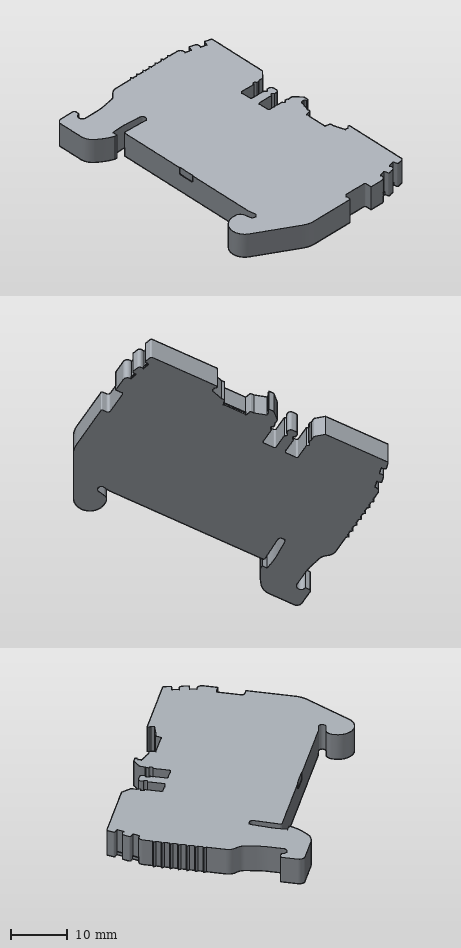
import cadquery as cq
import math

LENGTH = 52.2
HEIGHT = 36.05
THICKNESS = 5.15

LEFT_WALL_X = 0.5
FLOOR_Y = 6.2
MID_X = (LEFT_WALL_X + LENGTH) / 2
LEDGE_DEPTH = 0.15
LEDGE_HEIGHT = 0.65

FLANK_ANGLE = math.radians(15)
FLANK_TOP_X = 2.3
NOTCH_START = 1.55
NOTCH_PITCH = 3.15
NOTCH_WIDTH = 1.3
NOTCH_DEPTH = 1.05
NOTCH_STARTS = [NOTCH_START, NOTCH_START + NOTCH_PITCH]
TOP_CORNER_RADIUS = 0.3
NOTCH_UPPER_RADIUS = 0.2
NOTCH_LOWER_RADIUS = 0.65
SHOULDER_RADIUS = 0.9

TOOTH_COUNT = 7
TOOTH_PITCH = 1.5
TOOTH_FIRST_Y = 27.15
TOOTH_HEIGHT = 0.35
TOOTH_UPPER = 0.25
TOOTH_LOWER = 0.35

SLOT_CENTER_X = 20.3
SLOT_OUTER = 3.55
SLOT_FLOOR_Y = 29.0
SLOT_FLOOR_RADIUS = 0.3
POST_HALF_WIDTH = 0.95
POST_TOP_Y = 34.0
POST_RADIUS = 0.65
SLOT_MOUTH = 5.2
SLOT_NECK = 3.7
SLOT_NECK_TOP_Y = 34.65
SLOT_NECK_BOTTOM_Y = 33.7
SLOT_WALL_TOP_Y = 33.45
SLOT_NECK_RADIUS = 0.4
DETENT_Y = 32.6
DETENT_RADIUS = 0.35

RECESS_CENTER_X = 31.7
RECESS_LIP = 5.2
RECESS_UNDERCUT = 5.55
RECESS_STEP = 2.6
RECESS_FLOOR = 2.3
LIP_BOTTOM_Y = 35.7
UNDERCUT_Y = 35.4
SLOPE_OUTER_Y = 34.75
RECESS_SLOPE_INNER = 3.3
STEP_Y = 34.0
STEP_RADIUS = 0.15
RECESS_FLOOR_Y = 32.85

POCKET_X = 50.65
POCKET_TOP_Y = 26.5
POCKET_BOTTOM_Y = 21.45
POCKET_MOUTH_RADIUS = 0.2
POCKET_BOTTOM_RADIUS = 0.5
POCKET_TOP_RADIUS = 0.3

HOOK_BOTTOM_Y = 0.2
HOOK_LEFT_X = 41.3
HOOK_RADIUS = 2.9
HOOK_TIP_RADIUS = 1.3
HOOK_SLOPE_ANGLE = math.radians(60.5)
HOOK_SLOPE_RADIUS = 4.7
HOOK_TIP_Y = 4.7
GROOVE_START_X = 42.0
GROOVE_END_X = 44.05
GROOVE_TOP_Y = 6.65
GROOVE_BOTTOM_Y = 5.25
GROOVE_RADIUS = 0.65

SHELF_Y = 4.35
LEG_X = 2.85
LEG_BEND_Y = 8.1
LEG_BEND_RADIUS = 10.45
HIP_UPPER_Y = 13.2
HIP_UPPER_RADIUS = 2.05
HIP_LOWER = (2.15, 11.85)
HIP_LOWER_RADIUS = 2.0
SHELF_CORNER_RADIUS = 0.4
FOOT_CORNER_RADIUS = 1.05
SHELF_POCKET_RADIUS = 0.85
TOE_X = 10.25
TOE_TOP_Y = 4.85
TOE_BOTTOM_X = 7.45
TOE_BOTTOM_RADIUS = 2.9
TOE_FRONT = (9.55, 2.55)
TOE_FRONT_RADIUS = 11.2
LEG_SLOT_TOP_Y = 11.95
LEG_SLOT_TOP_LEFT_X = 9.45
LEG_SLOT_TOP_RIGHT_X = 10.8
LEG_SLOT_END_RADIUS = 0.65
LEG_SLOT_BOTTOM_LEFT_X = 9.25
LEG_SLOT_BOTTOM_RIGHT_X = 10.6
LEG_SLOT_BEND = (9.05, 7.05)
LEG_SLOT_BEND_RADIUS = 13.05
FLOOR_CORNER_RADIUS = 0.3

LABEL_START_X = 24.65
LABEL_WIDTH = 3.3
LABEL_HEIGHT = 1.45
LABEL_DEPTH = 0.1
LABEL_RADIUS = 0.3

TOUCHING = 0.0005


def rounded_profile(corners):
    """Closed wire through (x, y, radius) corners, each rounded by a tangent arc."""
    path = []
    count = len(corners)
    for i, (x, y, radius) in enumerate(corners):
        if radius == 0:
            path.append([(x, y)])
            continue
        corner = cq.Vector(x, y)
        before = (cq.Vector(*corners[i - 1][:2]) - corner).normalized()
        after = (cq.Vector(*corners[(i + 1) % count][:2]) - corner).normalized()
        half_angle = before.getAngle(after) / 2
        setback = radius / math.tan(half_angle)
        arc_gap = radius / math.sin(half_angle) - radius
        points = [
            corner + before * setback,
            corner + (before + after).normalized() * arc_gap,
            corner + after * setback,
        ]
        path.append([(p.x, p.y) for p in points])

    position = path[0][-1]
    profile = cq.Workplane("XY").moveTo(*position)
    for stretch in path[1:] + path[:1]:
        if math.dist(position, stretch[0]) > TOUCHING:
            profile = profile.lineTo(*stretch[0])
        if len(stretch) > 1:
            profile = profile.threePointArc(stretch[1], stretch[2])
        position = stretch[-1]
    return profile.close()


def mirrored(corners, center_x):
    """Corners reflected about x = center_x, in reverse order."""
    return [(2 * center_x - x, y, radius) for x, y, radius in reversed(corners)]


def flank_point(along, inward=0.0):
    """Point on the left flank: distance down from its top, and distance into the body."""
    x = FLANK_TOP_X - along * math.sin(FLANK_ANGLE) + inward * math.cos(FLANK_ANGLE)
    y = HEIGHT - along * math.cos(FLANK_ANGLE) - inward * math.sin(FLANK_ANGLE)
    return x, y


def left_flank():
    """Left flank from the top edge down to the left wall."""
    corners = [(*flank_point(0), TOP_CORNER_RADIUS)]
    for start in NOTCH_STARTS:
        end = start + NOTCH_WIDTH
        corners += [
            (*flank_point(start), NOTCH_UPPER_RADIUS),
            (*flank_point(start, NOTCH_DEPTH), 0),
            (*flank_point(end, NOTCH_DEPTH), 0),
            (*flank_point(end), NOTCH_LOWER_RADIUS),
        ]
    end = NOTCH_STARTS[-1] + NOTCH_WIDTH
    shoulder = (LEFT_WALL_X - flank_point(end)[0]) / math.cos(FLANK_ANGLE)
    corners[-1] = (*flank_point(end, shoulder), SHOULDER_RADIUS)
    return corners


def grip_teeth():
    """Saw teeth down the left wall."""
    corners = []
    for i in range(TOOTH_COUNT):
        tip_y = TOOTH_FIRST_Y - i * TOOTH_PITCH
        corners += [
            (LEFT_WALL_X, tip_y + TOOTH_UPPER, 0),
            (LEFT_WALL_X - TOOTH_HEIGHT, tip_y, 0),
            (LEFT_WALL_X, tip_y - TOOTH_LOWER, 0),
        ]
    return corners


def rail_foot():
    """Flexible leg, shelf and toe, ending at the housing floor."""
    return [
        (LEFT_WALL_X, HIP_UPPER_Y, HIP_UPPER_RADIUS),
        (*HIP_LOWER, HIP_LOWER_RADIUS),
        (LEG_X, LEG_BEND_Y, LEG_BEND_RADIUS),
        (LEG_X, SHELF_Y, 0),
        (0, SHELF_Y, SHELF_CORNER_RADIUS),
        (0, 0, FOOT_CORNER_RADIUS),
        (TOE_BOTTOM_X, 0, TOE_BOTTOM_RADIUS),
        (*TOE_FRONT, TOE_FRONT_RADIUS),
        (TOE_X, SHELF_Y, 0),
        (TOE_X, TOE_TOP_Y, 0),
        (LEG_SLOT_BOTTOM_LEFT_X, TOE_TOP_Y, 0),
        (*LEG_SLOT_BEND, LEG_SLOT_BEND_RADIUS),
        (LEG_SLOT_TOP_LEFT_X, LEG_SLOT_TOP_Y, LEG_SLOT_END_RADIUS),
        (LEG_SLOT_TOP_RIGHT_X, LEG_SLOT_TOP_Y, LEG_SLOT_END_RADIUS),
        (LEG_SLOT_BOTTOM_RIGHT_X, FLOOR_Y, FLOOR_CORNER_RADIUS),
    ]


def rail_hook():
    """Groove and rounded hook, ending on the right wall."""
    slope_bottom_x = HOOK_LEFT_X + HOOK_RADIUS * (1 + math.tan(HOOK_SLOPE_ANGLE / 2))
    slope_top_y = HOOK_BOTTOM_Y + (LENGTH - slope_bottom_x) * math.tan(HOOK_SLOPE_ANGLE)
    return [
        (GROOVE_START_X, FLOOR_Y, 0),
        (GROOVE_END_X, GROOVE_TOP_Y, GROOVE_RADIUS),
        (GROOVE_END_X, GROOVE_BOTTOM_Y, GROOVE_RADIUS),
        (HOOK_LEFT_X, HOOK_TIP_Y, HOOK_TIP_RADIUS),
        (HOOK_LEFT_X, HOOK_BOTTOM_Y, HOOK_RADIUS),
        (slope_bottom_x, HOOK_BOTTOM_Y, HOOK_RADIUS),
        (LENGTH, slope_top_y, HOOK_SLOPE_RADIUS),
    ]


def side_pocket():
    """Rectangular pocket in the right wall, from bottom to top."""
    return [
        (LENGTH, POCKET_BOTTOM_Y, POCKET_MOUTH_RADIUS),
        (POCKET_X, POCKET_BOTTOM_Y, POCKET_BOTTOM_RADIUS),
        (POCKET_X, POCKET_TOP_Y, POCKET_TOP_RADIUS),
        (LENGTH, POCKET_TOP_Y, 0),
    ]


def marker_recess():
    """Stepped recess with undercut lips, from right to left."""
    x = RECESS_CENTER_X
    right_half = [
        (x + RECESS_LIP, HEIGHT, 0),
        (x + RECESS_LIP, LIP_BOTTOM_Y, 0),
        (x + RECESS_UNDERCUT, UNDERCUT_Y, 0),
        (x + RECESS_UNDERCUT, SLOPE_OUTER_Y, 0),
        (x + RECESS_SLOPE_INNER, STEP_Y, 0),
        (x + RECESS_STEP, STEP_Y, STEP_RADIUS),
        (x + RECESS_FLOOR, RECESS_FLOOR_Y, 0),
    ]
    return right_half + mirrored(right_half, x)


def jumper_slots():
    """Twin slots with a shared flared mouth, from right to left."""
    x = SLOT_CENTER_X
    right_half = [
        (x + SLOT_MOUTH, HEIGHT, 0),
        (x + SLOT_NECK, SLOT_NECK_TOP_Y, SLOT_NECK_RADIUS),
        (x + SLOT_NECK, SLOT_NECK_BOTTOM_Y, 0),
        (x + SLOT_OUTER, SLOT_WALL_TOP_Y, 0),
        (x + SLOT_OUTER, SLOT_FLOOR_Y, SLOT_FLOOR_RADIUS),
        (x + POST_HALF_WIDTH, SLOT_FLOOR_Y, SLOT_FLOOR_RADIUS),
        (x + POST_HALF_WIDTH, POST_TOP_Y, POST_RADIUS),
    ]
    return right_half + mirrored(right_half, x)


def detents():
    """Round grooves across the four slot walls."""
    offsets = [-SLOT_OUTER, -POST_HALF_WIDTH, POST_HALF_WIDTH, SLOT_OUTER]
    centers = [(SLOT_CENTER_X + offset, DETENT_Y) for offset in offsets]
    return cq.Workplane("XY").pushPoints(centers).circle(DETENT_RADIUS).extrude(THICKNESS)


def shelf_pocket():
    """Round pocket in the foot shelf, tangent to the leg."""
    center = (LEG_X - SHELF_POCKET_RADIUS, SHELF_Y)
    return cq.Workplane("XY").center(*center).circle(SHELF_POCKET_RADIUS).extrude(THICKNESS)


def label_recess():
    """Shallow recess in the floor wall, open at the top face."""
    return (
        cq.Workplane("XY")
        .box(LABEL_WIDTH, LABEL_DEPTH, LABEL_HEIGHT, centered=False)
        .edges("|Y and <Z")
        .fillet(LABEL_RADIUS)
        .translate((LABEL_START_X, FLOOR_Y, THICKNESS - LABEL_HEIGHT))
    )


def notch_ledges():
    """Low ledges along the floors of the left flank notches."""
    ledges = cq.Workplane("XY")
    for start in NOTCH_STARTS:
        end = start + NOTCH_WIDTH
        corners = [
            flank_point(start, NOTCH_DEPTH),
            flank_point(end, NOTCH_DEPTH),
            flank_point(end, NOTCH_DEPTH - LEDGE_DEPTH),
            flank_point(start, NOTCH_DEPTH - LEDGE_DEPTH),
        ]
        ledges = ledges.add(cq.Workplane("XY").polyline(corners).close().extrude(LEDGE_HEIGHT))
    return ledges.combine()


def recess_ledge():
    """Low ledge along the floor of the marker recess."""
    return (
        cq.Workplane("XY")
        .box(2 * RECESS_FLOOR, LEDGE_DEPTH, LEDGE_HEIGHT, centered=(True, False, False))
        .translate((RECESS_CENTER_X, RECESS_FLOOR_Y, 0))
    )


flank = left_flank()
outline = (
    flank
    + grip_teeth()
    + rail_foot()
    + rail_hook()
    + side_pocket()
    + mirrored(flank, MID_X)
    + marker_recess()
    + jumper_slots()
)

body = rounded_profile(outline).extrude(THICKNESS)
body = body.cut(detents()).cut(shelf_pocket()).cut(label_recess())

left_ledges = notch_ledges()
right_ledges = left_ledges.mirror("YZ").translate((2 * MID_X, 0, 0))
result = body.union(left_ledges).union(right_ledges).union(recess_ledge())